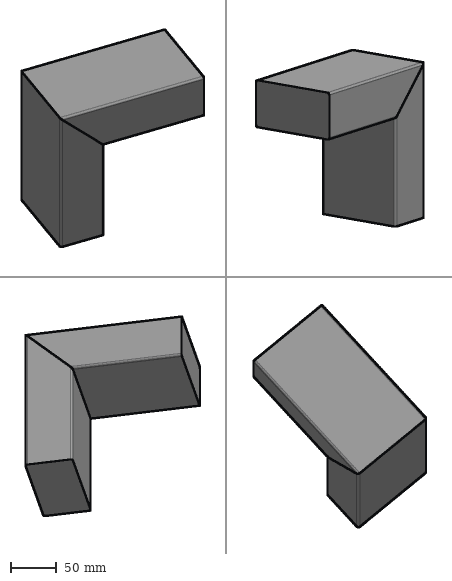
import cadquery as cq

leg_length = 175.0
bar_width = 100.0
bar_depth = 53.0
edge_radius = 2.5


def mitred_bar():
    """Upright bar from Z = 0, with its top cut at 45 degrees down towards +Y."""
    bar = (
        cq.Workplane("XY")
        .box(bar_width, bar_depth, leg_length, centered=(True, False, False))
        .edges("|Z")
        .fillet(edge_radius)
    )
    waste = (
        cq.Workplane("YZ")
        .moveTo(0, leg_length)
        .lineTo(bar_depth, leg_length - bar_depth)
        .lineTo(bar_depth, leg_length)
        .close()
        .extrude(bar_width / 2, both=True)
    )
    return bar.cut(waste)


upright_bar = mitred_bar()

mitre_line_start = (0, 0, leg_length)
mitre_line_end = (0, bar_depth, leg_length - bar_depth)
level_bar = mitred_bar().rotate(mitre_line_start, mitre_line_end, 180)

result = cq.Compound.makeCompound([upright_bar.val(), level_bar.val()])